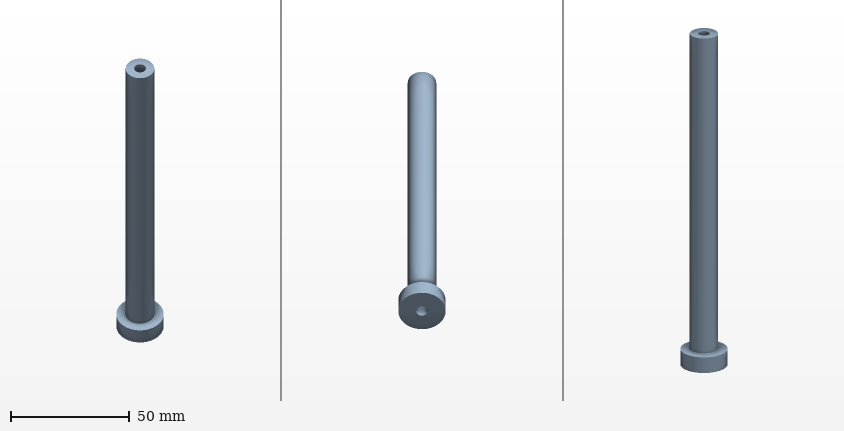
import cadquery as cq

total_length = 150.0
head_diameter = 20.0
head_height = 7.0
shaft_diameter = 12.0
bore_diameter = 5.0
root_fillet_radius = 0.5

head = cq.Workplane("XY").circle(head_diameter / 2).extrude(head_height)
shaft = cq.Workplane("XY").circle(shaft_diameter / 2).extrude(total_length)
body = head.union(shaft)

root_edge = cq.selectors.RadiusNthSelector(0)
body = body.faces(cq.selectors.NearestToPointSelector((0, head_diameter / 2, head_height))).edges(
    root_edge
).fillet(root_fillet_radius)

result = body.faces(">Z").workplane().hole(bore_diameter)